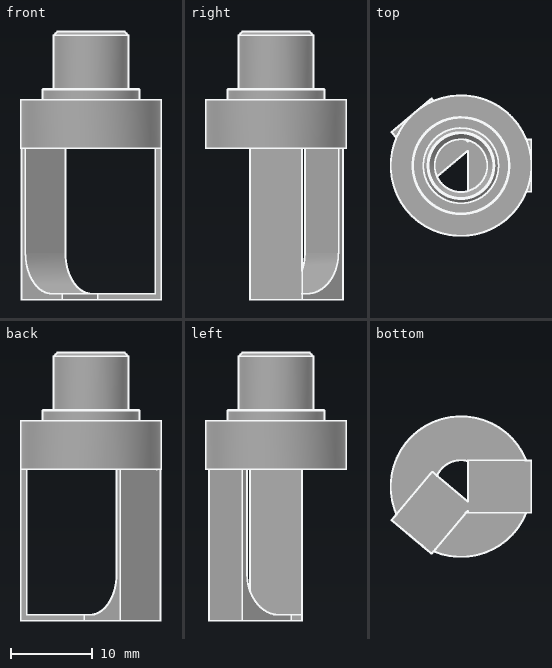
import cadquery as cq

total_height = 32.8
collar_bottom = 18.5
collar_height = 5.95
flange_height = 1.35
collar_top = collar_bottom + collar_height
flange_top = collar_top + flange_height
spigot_height = total_height - flange_top

collar_diameter = 17.2
flange_diameter = 11.9
spigot_diameter = 9.2
bore_diameter = 6.43

flange_chamfer = 0.1
spigot_chamfer = 0.5
spigot_rim_width = 0.15
bore_chamfer = (spigot_diameter - bore_diameter) / 2 - spigot_chamfer - spigot_rim_width

arm_width = 6.4
arm_thickness = 0.75
arm_outer_reach = collar_diameter / 2
foot_tip_reach = 0.85
filleted_arm_angle = 130
filleted_arm_shift = 0.67
foot_fillet_radius = 5.0


def make_disc(diameter, height, base_z):
    return cq.Workplane("XY").workplane(offset=base_z).circle(diameter / 2).extrude(height)


def make_head():
    """Collar, flange and spigot, bored through along Z."""
    collar = make_disc(collar_diameter, collar_height, collar_bottom)
    flange = make_disc(flange_diameter, flange_height, collar_top)
    flange = flange.faces(">Z").edges().chamfer(flange_chamfer)
    spigot = make_disc(spigot_diameter, spigot_height, flange_top)
    spigot = spigot.faces(">Z").edges().chamfer(spigot_chamfer)
    bore = make_disc(bore_diameter, total_height - collar_bottom, collar_bottom)
    head = collar.union(flange).union(spigot).cut(bore)
    bore_rim = cq.selectors.RadiusNthSelector(0)
    return head.faces(">Z").edges(bore_rim).chamfer(bore_chamfer)


def make_arm(fillet_radius=0):
    """Arm on the +X side with its foot pointing to the axis; the inner corner may be filleted."""
    inner_reach = arm_outer_reach - arm_thickness
    profile = (
        cq.Workplane("XZ")
        .moveTo(foot_tip_reach, 0)
        .lineTo(arm_outer_reach, 0)
        .lineTo(arm_outer_reach, collar_bottom)
        .lineTo(inner_reach, collar_bottom)
        .lineTo(inner_reach, arm_thickness)
        .lineTo(foot_tip_reach, arm_thickness)
        .close()
    )
    arm = profile.extrude(arm_width / 2, both=True)
    if fillet_radius:
        inner_corner = cq.selectors.NearestToPointSelector((inner_reach, 0, arm_thickness))
        arm = arm.edges("|Y").edges(inner_corner).fillet(fillet_radius)
    return arm


plain_arm = make_arm()
filleted_arm = (
    make_arm(foot_fillet_radius)
    .translate((0, filleted_arm_shift, 0))
    .rotate((0, 0, 0), (0, 0, 1), filleted_arm_angle)
)

result = make_head().union(plain_arm).union(filleted_arm)